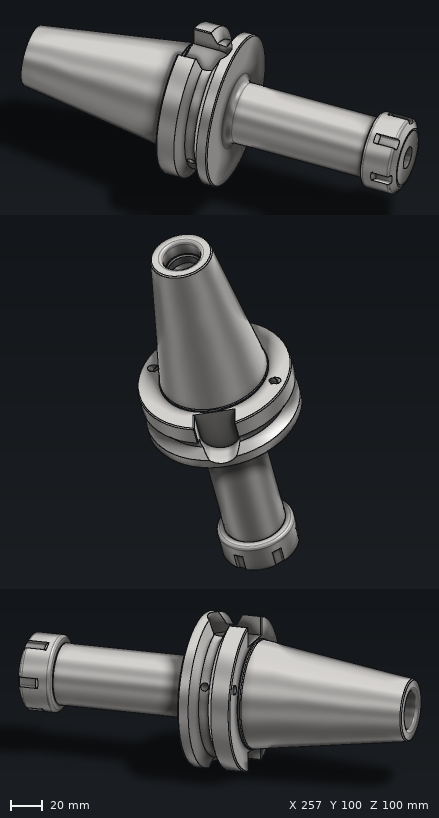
import cadquery as cq
import math


TAPER_LENGTH = 102.3
TAPER_LARGE_RADIUS = 35.0
TAPER_RATIO = 7 / 24
TAPER_SMALL_RADIUS = TAPER_LARGE_RADIUS - TAPER_LENGTH * TAPER_RATIO / 2
TAPER_END_CHAMFER = 0.8

COLLAR_RADIUS = 35.5
COLLAR_CHAMFER = 0.8

FLANGE_START = 105.0
FLANGE_END = 139.9
FLANGE_DIAMETER = 100.0
FLANGE_RADIUS = FLANGE_DIAMETER / 2
FLANGE_CHAMFER = 0.8
GROOVE_CENTER = 125.0
GROOVE_FLOOR_WIDTH = 6.5
GROOVE_LEFT = GROOVE_CENTER - GROOVE_FLOOR_WIDTH / 2
GROOVE_RIGHT = GROOVE_CENTER + GROOVE_FLOOR_WIDTH / 2
GROOVE_FLOOR_RADIUS = 42.5
GROOVE_FLANK_ANGLE = 30
GROOVE_FLANK_WIDTH = (FLANGE_RADIUS - GROOVE_FLOOR_RADIUS) * math.tan(math.radians(GROOVE_FLANK_ANGLE))

DRIVE_SLOT_WIDTH = 25.7
DRIVE_SLOT_END = 136.0
DRIVE_SLOT_CHAMFER = 0.8
DRIVE_SLOT_FLOOR = 35.2

COOLANT_HOLE_DIAMETER = 5.1
COOLANT_HOLE_ROTATION = 20
COOLANT_COUNTERBORE_DIAMETER = 6.0
COOLANT_COUNTERBORE_DEPTH = 1.3
COOLANT_INLET_RADIUS = 41.6
COOLANT_INLET_ANGLE = 45

NECK_DIAMETER = 39.8
NECK_RADIUS = NECK_DIAMETER / 2
NECK_FILLET = 5.0
NUT_START = 234.2
NECK_END_CHAMFER = 0.8
SPIGOT_RADIUS = 18.0

PILOT_RADIUS = 12.3
PILOT_DEPTH = 10.3
PILOT_MOUTH_FILLET = 2.3
DRAWBAR_HOLE_RADIUS = 10.5
DRAWBAR_HOLE_MOUTH_CHAMFER = 1.0
DRAWBAR_HOLE_DEPTH = 16.7
DRILL_POINT_ANGLE = 60
THROUGH_RADIUS = 7.2

NUT_END = 257.0
NUT_DIAMETER = 50.1
NUT_RADIUS = NUT_DIAMETER / 2
NUT_REAR_FILLET = 2.0
NUT_FRONT_FILLET = 1.8
NUT_FRONT_CONE_ANGLE = 60
NUT_FRONT_CONE_LENGTH = 2.8
WRENCH_SLOT_COUNT = 6
WRENCH_SLOT_WIDTH = 6.5
WRENCH_SLOT_FLOOR_FILLET = 0.5
WRENCH_SLOT_FLOOR_RADIUS = 22.4
WRENCH_SLOT_RAMP = 2.5
WRENCH_SLOT_START = 242.0
LONG_WRENCH_SLOT_START = 239.5
LONG_WRENCH_SLOTS = (1, 2)


def revolve_about_x(profile):
    """Turn a closed profile, drawn with the axis along X and the radius along Z, about the X axis."""
    return profile.close().revolve(360, (0, 0, 0), (1, 0, 0))


def holder_body():
    profile = (
        cq.Workplane("XZ")
        .moveTo(0, 0)
        .lineTo(0, TAPER_SMALL_RADIUS - TAPER_END_CHAMFER)
        .lineTo(TAPER_END_CHAMFER, TAPER_SMALL_RADIUS + TAPER_END_CHAMFER * TAPER_RATIO / 2)
        .lineTo(TAPER_LENGTH, TAPER_LARGE_RADIUS)
        .lineTo(TAPER_LENGTH + COLLAR_CHAMFER, COLLAR_RADIUS)
        .lineTo(FLANGE_START - COLLAR_CHAMFER, COLLAR_RADIUS)
        .lineTo(FLANGE_START, COLLAR_RADIUS - COLLAR_CHAMFER)
        .lineTo(FLANGE_START, FLANGE_RADIUS - FLANGE_CHAMFER)
        .lineTo(FLANGE_START + FLANGE_CHAMFER, FLANGE_RADIUS)
        .lineTo(GROOVE_LEFT - GROOVE_FLANK_WIDTH, FLANGE_RADIUS)
        .lineTo(GROOVE_LEFT, GROOVE_FLOOR_RADIUS)
        .lineTo(GROOVE_RIGHT, GROOVE_FLOOR_RADIUS)
        .lineTo(GROOVE_RIGHT + GROOVE_FLANK_WIDTH, FLANGE_RADIUS)
        .lineTo(FLANGE_END - FLANGE_CHAMFER, FLANGE_RADIUS)
        .lineTo(FLANGE_END, FLANGE_RADIUS - FLANGE_CHAMFER)
        .lineTo(FLANGE_END, NECK_RADIUS + NECK_FILLET)
        .radiusArc((FLANGE_END + NECK_FILLET, NECK_RADIUS), -NECK_FILLET)
        .lineTo(NUT_START - NECK_END_CHAMFER, NECK_RADIUS)
        .lineTo(NUT_START, NECK_RADIUS - NECK_END_CHAMFER)
        .lineTo(NUT_START, SPIGOT_RADIUS)
        .lineTo(NUT_END, SPIGOT_RADIUS)
        .lineTo(NUT_END, 0)
    )
    return revolve_about_x(profile)


def stepped_bore():
    point_length = (DRAWBAR_HOLE_RADIUS - THROUGH_RADIUS) / math.tan(math.radians(DRILL_POINT_ANGLE))
    profile = (
        cq.Workplane("XZ")
        .moveTo(0, 0)
        .lineTo(0, PILOT_RADIUS + PILOT_MOUTH_FILLET)
        .radiusArc((PILOT_MOUTH_FILLET, PILOT_RADIUS), -PILOT_MOUTH_FILLET)
        .lineTo(PILOT_DEPTH, PILOT_RADIUS)
        .lineTo(PILOT_DEPTH, DRAWBAR_HOLE_RADIUS + DRAWBAR_HOLE_MOUTH_CHAMFER)
        .lineTo(PILOT_DEPTH + DRAWBAR_HOLE_MOUTH_CHAMFER, DRAWBAR_HOLE_RADIUS)
        .lineTo(DRAWBAR_HOLE_DEPTH, DRAWBAR_HOLE_RADIUS)
        .lineTo(DRAWBAR_HOLE_DEPTH + point_length, THROUGH_RADIUS)
        .lineTo(NUT_END, THROUGH_RADIUS)
        .lineTo(NUT_END, 0)
    )
    return revolve_about_x(profile)


def drive_slot():
    """Slot open toward the taper, with a full-radius end and chamfered mouth and rim edges."""
    half_width = DRIVE_SLOT_WIDTH / 2
    round_center = DRIVE_SLOT_END - half_width
    flared_half_width = half_width + DRIVE_SLOT_CHAMFER
    slot = (
        cq.Workplane("XY")
        .workplane(offset=DRIVE_SLOT_FLOOR)
        .moveTo(FLANGE_START, -flared_half_width)
        .lineTo(FLANGE_START + DRIVE_SLOT_CHAMFER, -half_width)
        .lineTo(round_center, -half_width)
        .threePointArc((DRIVE_SLOT_END, 0), (round_center, half_width))
        .lineTo(FLANGE_START + DRIVE_SLOT_CHAMFER, half_width)
        .lineTo(FLANGE_START, flared_half_width)
        .lineTo(TAPER_LENGTH, flared_half_width)
        .lineTo(TAPER_LENGTH, -flared_half_width)
        .close()
        .extrude(FLANGE_RADIUS - DRIVE_SLOT_FLOOR)
    )
    rim_height = math.sqrt(FLANGE_RADIUS**2 - half_width**2)
    rim_flare = (
        cq.Workplane("YZ")
        .workplane(offset=FLANGE_START)
        .moveTo(-half_width, rim_height - DRIVE_SLOT_CHAMFER)
        .lineTo(half_width, rim_height - DRIVE_SLOT_CHAMFER)
        .lineTo(flared_half_width, rim_height)
        .lineTo(-flared_half_width, rim_height)
        .close()
        .extrude(GROOVE_LEFT - GROOVE_FLANK_WIDTH - FLANGE_START)
    )
    return slot.union(rim_flare)


def coolant_holes():
    """Inclined hole from the flange face that meets a radial hole from the groove, on the +Y side."""
    angle = math.radians(COOLANT_INLET_ANGLE)
    axial_run = GROOVE_CENTER - FLANGE_START
    meeting_radius = COOLANT_INLET_RADIUS - axial_run * math.tan(angle)
    hole_radius = COOLANT_HOLE_DIAMETER / 2
    direction = cq.Vector(math.cos(angle), -math.sin(angle), 0)
    overrun = COOLANT_HOLE_DIAMETER
    start = cq.Vector(FLANGE_START, COOLANT_INLET_RADIUS, 0) - direction * overrun
    inclined = cq.Solid.makeCylinder(hole_radius, axial_run / math.cos(angle) + overrun, start, direction)
    counterbore = cq.Solid.makeCylinder(
        COOLANT_COUNTERBORE_DIAMETER / 2, COOLANT_COUNTERBORE_DEPTH + overrun, start, direction
    )
    radial = cq.Solid.makeCylinder(
        hole_radius,
        FLANGE_RADIUS - meeting_radius,
        cq.Vector(GROOVE_CENTER, meeting_radius, 0),
        cq.Vector(0, 1, 0),
    )
    holes = cq.Workplane(inclined).union(cq.Workplane(counterbore)).union(cq.Workplane(radial))
    return holes.rotate((0, 0, 0), (1, 0, 0), COOLANT_HOLE_ROTATION)


def make_holder():
    holder = holder_body().cut(stepped_bore())
    for turn in (0, 180):
        holder = holder.cut(drive_slot().rotate((0, 0, 0), (1, 0, 0), turn))
        holder = holder.cut(coolant_holes().rotate((0, 0, 0), (1, 0, 0), turn))
    return holder


def nut_body():
    cone_angle = math.radians(NUT_FRONT_CONE_ANGLE)
    cone_start = NUT_END - NUT_FRONT_CONE_LENGTH
    cone_start_radius = NUT_RADIUS - NUT_FRONT_FILLET * (1 - math.cos(cone_angle))
    front_radius = cone_start_radius - NUT_FRONT_CONE_LENGTH * math.tan(cone_angle)
    profile = (
        cq.Workplane("XZ")
        .moveTo(NUT_START, SPIGOT_RADIUS)
        .lineTo(NUT_START, NUT_RADIUS - NUT_REAR_FILLET)
        .radiusArc((NUT_START + NUT_REAR_FILLET, NUT_RADIUS), NUT_REAR_FILLET)
        .lineTo(cone_start - NUT_FRONT_FILLET * math.sin(cone_angle), NUT_RADIUS)
        .radiusArc((cone_start, cone_start_radius), NUT_FRONT_FILLET)
        .lineTo(NUT_END, front_radius)
        .lineTo(NUT_END, SPIGOT_RADIUS)
    )
    return revolve_about_x(profile)


def wrench_slot(start):
    """Slot on the +Y side of the nut, open at the front, with a ramp at its closed end."""
    slot = (
        cq.Workplane("XY")
        .moveTo(start, NUT_RADIUS)
        .lineTo(start + WRENCH_SLOT_RAMP, WRENCH_SLOT_FLOOR_RADIUS)
        .lineTo(NUT_END, WRENCH_SLOT_FLOOR_RADIUS)
        .lineTo(NUT_END, NUT_RADIUS)
        .close()
        .extrude(WRENCH_SLOT_WIDTH / 2, both=True)
    )
    return slot.faces("<Y").edges("|X").fillet(WRENCH_SLOT_FLOOR_FILLET)


def make_nut():
    nut = nut_body()
    for index in range(WRENCH_SLOT_COUNT):
        start = LONG_WRENCH_SLOT_START if index in LONG_WRENCH_SLOTS else WRENCH_SLOT_START
        turn = index * 360 / WRENCH_SLOT_COUNT
        nut = nut.cut(wrench_slot(start).rotate((0, 0, 0), (1, 0, 0), turn))
    return nut


holder = make_holder()
nut = make_nut()
result = cq.Compound.makeCompound([holder.val(), nut.val()])